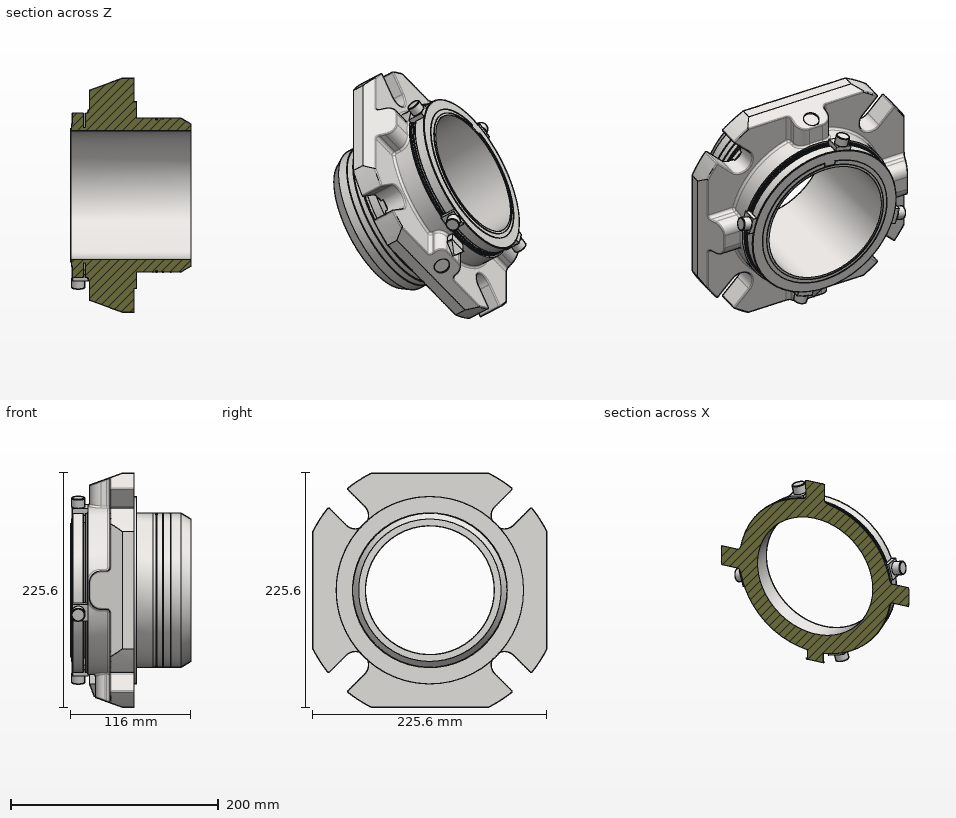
import cadquery as cq
import math


RING_FRONT = 0.7
COLLAR_FRONT = 1.4
CLIP_FRONT = 1.8
COLLAR_BACK = 12.5
LIP_FRONT = 14.0
LIP_STEP = 16.0
BODY_FRONT = 17.0
BOSS_FRONT = 18.0
POINTER_BOSS_FRONT = 24.0
PLATE_FRONT = 38.0
SLOPE_END = 49.9
PLATE_BACK = 61.2
GASKET_FRONT = 58.2
GASKET_BACK = 63.6
BARREL_STEP = 79.2
END_CHAMFER_START = 106.0
BARREL_BACK = 116.0

BORE_DIA = 123.9
SLEEVE_DIA = 128.6
NECK_DIA = 130.9
RING_DIA = 137.2
COLLAR_DIA = 158.9
LIP_FRONT_DIA = 158.9
LIP_DIA = 160.2
BODY_DIA = 163.4
GASKET_DIA = 180.5
BARREL_FRONT_DIA = 149.2
BARREL_DIA = 149.0
BARREL_END_DIA = 137.2
CORNER_DIA = 252.3

PLATE_SIZE = 225.6
HALF_SIZE = PLATE_SIZE / 2
SLOPE_ANGLE = 20.0
SLOT_WIDTH = 25.3
SLOT_CENTRE_RADIUS = 101.5
EDGE_ROUND = 1.1

BOSS_HALF_WIDTH = 18.5
BOSS_CORNER = 11.3
POINTER_BOSS_CORNER = 9.0
BOSS_BASE_FILLET = 3.4
BODY_FILLET = 2.3

PORT_DIA = 15.3
PORT_DEPTH = 1.8
TOP_PORT_X = 27.3
BOTTOM_PORT_X = 36.8

POINTER_SHAFT_HALF_WIDTH = 8.5
POINTER_HALF_WIDTH = 10.0
POINTER_SHOULDER = 90.3
POINTER_TIP = 102.2
POINTER_TIP_X = 22.5

CLIP_COUNT = 4
FIRST_CLIP_ANGLE = 15.0
CLIP_WIDTH = 16.7
CLIP_OUTER = 83.5
LUG_INNER = 76.7
SCREW_DIA = 13.0
SCREW_X = 7.2
SCREW_TOP = 92.3

RING_GAP_ANGLE = 9.8
EDGE_CHAMFER = 0.7

BARREL_GROOVES = (
    (82.1, 83.3, 145.5),
    (88.7, 89.4, 147.8),
    (96.1, 96.5, 147.8),
)


def disc(start, end, diameter):
    """Solid cylinder on the part axis between two stations."""
    return cq.Workplane("YZ", origin=(start, 0, 0)).circle(diameter / 2).extrude(end - start)


def tube(start, end, outer, inner):
    """Cylindrical ring on the part axis between two stations."""
    return disc(start, end, outer).cut(disc(start, end, inner))


def turn(shape, angle):
    """Turn a shape about the part axis."""
    return shape.rotate((0, 0, 0), (1, 0, 0), angle)


def slope_radius(x):
    """Distance of the sloped side face from the axis at a station."""
    return HALF_SIZE - (SLOPE_END - x) * math.tan(math.radians(SLOPE_ANGLE))


def boss(front, corner):
    """Boss on the +Z side: rounded front corners, base flared into the plate."""
    flare = BOSS_BASE_FILLET
    half = BOSS_HALF_WIDTH
    base_half = half + flare
    corner_mid = corner * (1 - math.sqrt(0.5))
    flare_mid = flare * (1 - math.sqrt(0.5))
    base_x = PLATE_FRONT - flare
    return (
        cq.Workplane("XY")
        .moveTo(SLOPE_END, -base_half)
        .lineTo(PLATE_FRONT, -base_half)
        .threePointArc((PLATE_FRONT - flare_mid, -half - flare_mid), (base_x, -half))
        .lineTo(front + corner, -half)
        .threePointArc((front + corner_mid, -half + corner_mid), (front, -half + corner))
        .lineTo(front, half - corner)
        .threePointArc((front + corner_mid, half - corner_mid), (front + corner, half))
        .lineTo(base_x, half)
        .threePointArc((PLATE_FRONT - flare_mid, half + flare_mid), (PLATE_FRONT, base_half))
        .lineTo(SLOPE_END, base_half)
        .close()
        .extrude(HALF_SIZE)
    )


def bolt_slot():
    """Open round-ended slot along +Z through the plate."""
    half = SLOT_WIDTH / 2
    return (
        cq.Workplane("YZ", origin=(PLATE_FRONT, 0, 0))
        .moveTo(-half, PLATE_SIZE)
        .lineTo(-half, SLOT_CENTRE_RADIUS)
        .threePointArc((0, SLOT_CENTRE_RADIUS - half), (half, SLOT_CENTRE_RADIUS))
        .lineTo(half, PLATE_SIZE)
        .close()
        .extrude(PLATE_BACK - PLATE_FRONT)
    )


def outline_edges(shape):
    """Edges round the plate front, the slot mouths and the boss rims."""
    tolerance = 0.02
    corner_radius = CORNER_DIA / 2
    flare_end = BOSS_HALF_WIDTH + BOSS_BASE_FILLET
    clear_of_body = BODY_DIA / 2 + BODY_FILLET + tolerance
    chosen = []
    for edge in shape.edges().vals():
        middle = edge.positionAt(0.5)
        across = min(abs(middle.y), abs(middle.z))
        reach = max(abs(middle.y), abs(middle.z))
        radius = math.hypot(middle.y, middle.z)
        on_front = abs(middle.x - PLATE_FRONT) < tolerance
        on_flare = abs(across - flare_end) < tolerance
        on_rim = abs(radius - corner_radius) < tolerance
        diagonal = abs(reach - across) < SLOT_WIDTH
        on_slope = abs(reach - slope_radius(middle.x)) < tolerance
        front_outline = on_front and radius > clear_of_body and not on_flare
        slot_mouth = on_rim and diagonal and PLATE_FRONT < middle.x < PLATE_BACK - tolerance
        boss_rim = on_slope and middle.x < PLATE_FRONT - tolerance
        if front_outline or slot_mouth or boss_rim:
            chosen.append(edge)
    return chosen


def flange():
    """Square plate with rounded corners, gland body, bosses and sloped sides."""
    plate = (
        cq.Workplane("YZ", origin=(PLATE_FRONT, 0, 0))
        .rect(PLATE_SIZE, PLATE_SIZE)
        .extrude(PLATE_BACK - PLATE_FRONT)
        .intersect(disc(PLATE_FRONT, PLATE_BACK, CORNER_DIA))
    )
    body_start = BODY_FRONT - 2 * BODY_FILLET
    shape = plate.union(disc(body_start, PLATE_BACK, BODY_DIA))
    shape = shape.union(turn(boss(POINTER_BOSS_FRONT, POINTER_BOSS_CORNER), 180))
    for angle in (-90, 0, 90):
        shape = shape.union(turn(boss(BOSS_FRONT, BOSS_CORNER), angle))

    margin = 0.2
    rim = BODY_DIA / 2 + margin
    root_box = cq.selectors.BoxSelector(
        (BOSS_FRONT - margin, -rim, -rim),
        (PLATE_FRONT + margin, rim, rim),
        boundingbox=True,
    )
    shape = shape.edges(root_box).fillet(BODY_FILLET)
    shape = shape.cut(disc(body_start, BODY_FRONT, 2 * PLATE_SIZE))

    slope = (
        cq.Workplane("XZ")
        .polyline([(SLOPE_END, HALF_SIZE), (0, slope_radius(0)), (0, PLATE_SIZE), (SLOPE_END, PLATE_SIZE)])
        .close()
        .extrude(HALF_SIZE, both=True)
    )
    for angle in (0, 90, 180, 270):
        shape = shape.cut(turn(slope, angle))
        shape = shape.cut(turn(bolt_slot(), angle + 45))
    return shape.newObject(outline_edges(shape)).fillet(EDGE_ROUND)


def port(x):
    """Shallow round recess square to the sloped face on the +Z side."""
    tilt = math.radians(SLOPE_ANGLE)
    outward = cq.Vector(-math.sin(tilt), 0, math.cos(tilt))
    face = cq.Plane(origin=(x, 0, slope_radius(x)), xDir=(0, 1, 0), normal=outward.toTuple())
    return cq.Workplane(face).circle(PORT_DIA / 2).extrude(-PORT_DEPTH)


def pointer():
    """Arrow block on the bottom boss, its head sloping back towards the tip."""
    root = BODY_DIA / 2 - BODY_FILLET
    block = (
        cq.Workplane("YZ", origin=(BOSS_FRONT, 0, 0))
        .polyline([
            (-POINTER_SHAFT_HALF_WIDTH, -root),
            (-POINTER_SHAFT_HALF_WIDTH, -POINTER_SHOULDER),
            (-POINTER_HALF_WIDTH, -POINTER_SHOULDER),
            (0, -POINTER_TIP),
            (POINTER_HALF_WIDTH, -POINTER_SHOULDER),
            (POINTER_SHAFT_HALF_WIDTH, -POINTER_SHOULDER),
            (POINTER_SHAFT_HALF_WIDTH, -root),
        ])
        .close()
        .extrude(POINTER_BOSS_FRONT - BOSS_FRONT)
    )
    head_slope = (
        cq.Workplane("XZ")
        .polyline([
            (BOSS_FRONT, -POINTER_SHOULDER),
            (POINTER_TIP_X, -POINTER_TIP),
            (BOSS_FRONT, -POINTER_TIP),
        ])
        .close()
        .extrude(POINTER_HALF_WIDTH, both=True)
    )
    return block.cut(head_slope)


def clip():
    """Setting clip over the collar on the +Y side, with its screw head."""
    length = BODY_FRONT - CLIP_FRONT
    block = cq.Workplane("XY").box(
        length, CLIP_OUTER - LUG_INNER, CLIP_WIDTH, centered=(False, False, True)
    ).translate((CLIP_FRONT, LUG_INNER, 0))
    screw = (
        cq.Workplane("XZ", origin=(SCREW_X, CLIP_OUTER, 0))
        .circle(SCREW_DIA / 2)
        .extrude(CLIP_OUTER - SCREW_TOP)
        .faces(">Y")
        .chamfer(EDGE_CHAMFER)
    )
    return block.union(screw)


def snap_ring():
    """Split ring round the sleeve, its gap running from +Z towards -Y."""
    ring = tube(RING_FRONT, COLLAR_FRONT, RING_DIA, SLEEVE_DIA)
    gap_angle = math.radians(RING_GAP_ANGLE)
    gap = (
        cq.Workplane("YZ", origin=(RING_FRONT, 0, 0))
        .polyline([
            (0, 0),
            (0, RING_DIA),
            (-RING_DIA * math.sin(gap_angle), RING_DIA * math.cos(gap_angle)),
        ])
        .close()
        .extrude(COLLAR_FRONT - RING_FRONT)
    )
    return ring.cut(gap)


def front_end():
    """Sleeve end, snap ring, collar, neck and gland lip."""
    collar = disc(COLLAR_FRONT, COLLAR_BACK, COLLAR_DIA).edges().chamfer(EDGE_CHAMFER)
    lip = disc(LIP_FRONT, LIP_STEP, LIP_FRONT_DIA).faces("<X").chamfer(EDGE_CHAMFER)
    lip = lip.union(disc(LIP_STEP, BODY_FRONT, LIP_DIA))
    shape = disc(0, COLLAR_FRONT, SLEEVE_DIA).union(snap_ring()).union(collar)
    return shape.union(disc(COLLAR_BACK, LIP_FRONT, NECK_DIA)).union(lip)


def barrel():
    """Gasket and seal barrel behind the flange."""
    end_length = BARREL_BACK - END_CHAMFER_START
    end_step = (BARREL_DIA - BARREL_END_DIA) / 2
    rear = (
        disc(BARREL_STEP, BARREL_BACK, BARREL_DIA)
        .faces(">X")
        .edges()
        .chamfer(end_length, end_step)
    )
    shape = disc(GASKET_FRONT, GASKET_BACK, GASKET_DIA)
    shape = shape.union(disc(GASKET_BACK, BARREL_STEP, BARREL_FRONT_DIA)).union(rear)
    for start, end, floor in BARREL_GROOVES:
        shape = shape.cut(tube(start, end, GASKET_DIA, floor))
    return shape


gland = flange()
gland = gland.union(pointer())
gland = gland.cut(port(TOP_PORT_X))
gland = gland.cut(turn(port(BOTTOM_PORT_X), 180))

result = gland.union(front_end()).union(barrel())
for index in range(CLIP_COUNT):
    result = result.union(turn(clip(), FIRST_CLIP_ANGLE + index * 360 / CLIP_COUNT))
result = result.cut(disc(0, BARREL_BACK, BORE_DIA))